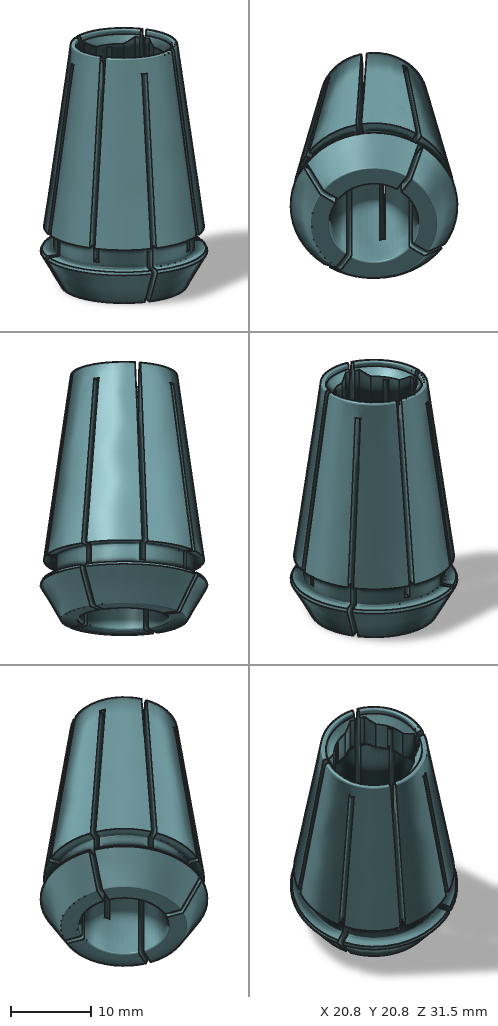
import cadquery as cq
import math


height = 31.5
rim_radius = 10.4
rim_z = 4.45
rim_top_radius = 10.2
rim_top_z = 4.82
nose_half_angle = 30.0
groove_radius = 8.75
groove_fillet = 0.2
taper_base_radius = 10.0
taper_base_z = 7.62
taper_half_angle = 8.0
rear_edge_fillet = 0.3
nose_edge_fillet = 0.2
bore_edge_fillet = 0.3

shank_radius = 5.5
drive_bottom_z = 25.4
drive_radius = 5.05
drive_square = 9.4
drive_diagonal = 11.4
mouth_radius = 6.0
mouth_depth = 0.7
mouth_cone_angle = 45.0

slot_width = 0.7
nose_slot_top_z = 29.48
rear_slot_bottom_z = 5.48
slot_length = 3 * rim_radius

taper_inset = (height - taper_base_z) * math.tan(math.radians(taper_half_angle))
taper_top_radius = taper_base_radius - taper_inset
nose_tip_radius = rim_radius - rim_z * math.tan(math.radians(nose_half_angle))
cone_depth = (mouth_radius - drive_radius) / math.tan(math.radians(mouth_cone_angle))
mouth_z = height - mouth_depth


def cylinder(radius, bottom_z, top_z):
    return cq.Workplane("XY").workplane(offset=bottom_z).circle(radius).extrude(top_z - bottom_z)


def revolve_profile(points):
    return cq.Workplane("XZ").polyline(points).close().revolve(360, (0, 0, 0), (0, 1, 0))


def outer_body():
    body = revolve_profile([
        (0, 0),
        (nose_tip_radius, 0),
        (rim_radius, rim_z),
        (rim_top_radius, rim_top_z),
        (groove_radius, rim_top_z),
        (groove_radius, taper_base_z),
        (taper_base_radius, taper_base_z),
        (taper_top_radius, height),
        (0, height),
    ])
    groove_wall = body.faces("%CYLINDER")
    return groove_wall.edges("%CIRCLE").fillet(groove_fillet)


def drive_socket():
    """Square with truncated corners merged with a round hole."""
    depth = height - drive_bottom_z
    base = cq.Workplane("XY").workplane(offset=drive_bottom_z)
    square = base.rect(drive_square, drive_square).extrude(depth)
    corner_cut = base.transformed(rotate=(0, 0, 45)).rect(drive_diagonal, drive_diagonal).extrude(depth)
    return square.intersect(corner_cut).union(cylinder(drive_radius, drive_bottom_z, height))


def mouth():
    """Cylindrical counterbore and conical lead-in to the drive socket."""
    return revolve_profile([
        (0, mouth_z - cone_depth),
        (drive_radius, mouth_z - cone_depth),
        (mouth_radius, mouth_z),
        (mouth_radius, height),
        (0, height),
    ])


def cross_slots(bottom_z, top_z, first_angle):
    """Two perpendicular through slots, which give four gaps in the wall."""
    slots = cq.Workplane("XY")
    for angle in (first_angle, first_angle + 90):
        slot = (
            cq.Workplane("XY").workplane(offset=bottom_z)
            .rect(slot_length, slot_width).extrude(top_z - bottom_z)
            .rotate((0, 0, 0), (0, 0, 1), angle)
        )
        slots = slots.add(slot)
    return slots.combine()


result = outer_body()
result = result.cut(cylinder(shank_radius, 0, drive_bottom_z))
result = result.cut(drive_socket())
result = result.cut(mouth())
result = result.faces(">Z").edges().fillet(rear_edge_fillet)
result = result.faces("<Z").edges(cq.selectors.RadiusNthSelector(-1)).fillet(nose_edge_fillet)
result = result.faces("<Z").edges(cq.selectors.RadiusNthSelector(0)).fillet(bore_edge_fillet)
result = result.cut(cross_slots(0, nose_slot_top_z, 0))
result = result.cut(cross_slots(rear_slot_bottom_z, height, 45))